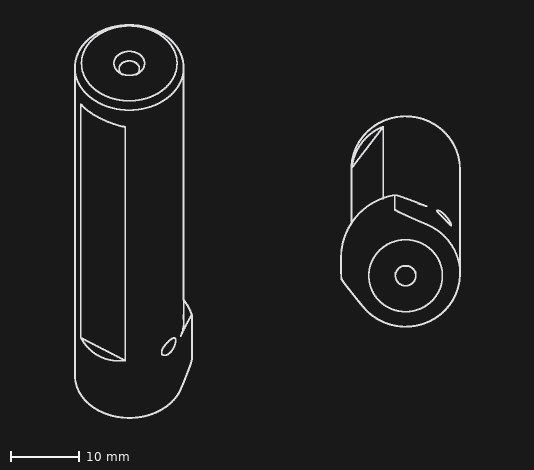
import cadquery as cq
import math

length = 75.0
body_diameter = 16.0
body_radius = body_diameter / 2
top_chamfer = 1.0
slope = math.tan(math.radians(30))
bottom_radius = 5.4

pad_overhang = 1.5
pad_radius = body_radius + pad_overhang
pad_top = 13.2
pad_fillet = 1.0
pad_tangent_angle = 14.0

flat_distance = 7.0
flat_bottom = 15.0
flat_top = 70.0

bore_diameter = 3.0
countersink_diameter = 4.5
countersink_angle = 60.0
cross_hole_diameter = 3.0
cross_hole_y = -1.3
cross_hole_z = 15.0


def bottom_cone_height(radius):
    """Height of the bottom cone at a given radius."""
    return slope * (radius - bottom_radius)


def make_body():
    """Cylinder with a chamfered top and a conical bottom."""
    profile = [
        (0, 0),
        (bottom_radius, 0),
        (body_radius, bottom_cone_height(body_radius)),
        (body_radius, length - top_chamfer),
        (body_radius - top_chamfer, length),
        (0, length),
    ]
    return cq.Workplane("XZ").polyline(profile).close().revolve()


def make_pad():
    """Ring with conical ends, trimmed by two sides tangent to the body."""
    ring_profile = [
        (0, 0),
        (bottom_radius, 0),
        (pad_radius, bottom_cone_height(pad_radius)),
        (pad_radius, pad_top),
        (0, pad_top + slope * pad_radius),
    ]
    ring = cq.Workplane("XZ").polyline(ring_profile).close().revolve()
    ring = ring.edges("%CIRCLE and (not <Z)").fillet(pad_fillet)

    angle = math.radians(pad_tangent_angle)
    tangent_x = body_radius * math.cos(angle)
    tangent_y = body_radius * math.sin(angle)
    side_length = 2 * pad_radius
    end_x = tangent_x - side_length * math.sin(angle)
    end_y = tangent_y + side_length * math.cos(angle)
    outline = [
        (0, 0),
        (tangent_x, tangent_y),
        (end_x, end_y),
        (-end_x, end_y),
        (-tangent_x, tangent_y),
    ]
    wedge = cq.Workplane("XY").polyline(outline).close().extrude(length)
    return ring.intersect(wedge)


def make_flat_cutter(side):
    """Cutter for one flat with sloped ends; side is -1 or +1 along Y."""
    outer = pad_radius
    ramp = slope * (outer - flat_distance)
    profile = [
        (side * flat_distance, flat_bottom),
        (side * flat_distance, flat_top),
        (side * outer, flat_top + ramp),
        (side * outer, flat_bottom - ramp),
    ]
    return cq.Workplane("YZ").polyline(profile).close().extrude(body_radius, both=True)


body = make_body()
for side in (-1, 1):
    body = body.cut(make_flat_cutter(side))
part = body.union(make_pad())

part = (
    part.faces(">Z")
    .workplane(origin=(0, 0, length))
    .cskHole(bore_diameter, countersink_diameter, countersink_angle)
)

cross_hole = (
    cq.Workplane("YZ")
    .center(cross_hole_y, cross_hole_z)
    .circle(cross_hole_diameter / 2)
    .extrude(body_radius, both=True)
)
result = part.cut(cross_hole)